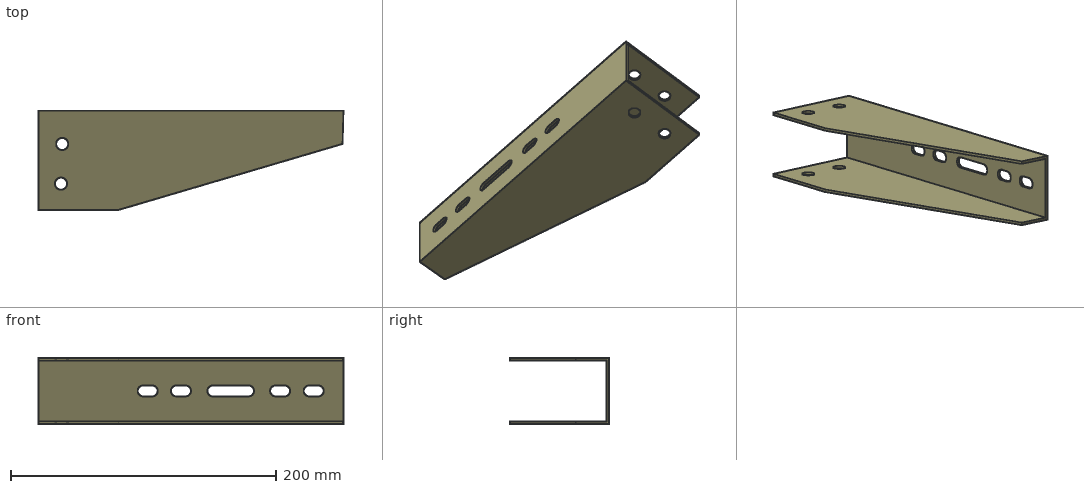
import cadquery as cq

length = 230.0
depth = 75.0
height = 50.0
wall = 2.0

full_depth_length = 60.0
tip_depth = 25.0
tip_setback = 0.7

hole_diameter = 9.0
flange_holes = [(18.0, 25.0), (17.0, 55.0)]

slot_width = 8.0
short_slot = 15.0
long_slot = 35.0
back_slots = [
    (82.3, short_slot),
    (107.5, short_slot),
    (145.0, long_slot),
    (182.2, short_slot),
    (207.5, short_slot),
]


def tapered_block():
    """Solid with the flange outline, its back face on Y = 0."""
    outline = [
        (0, 0),
        (length, 0),
        (length - tip_setback, -tip_depth),
        (full_depth_length, -depth),
        (0, -depth),
    ]
    return cq.Workplane("XY").polyline(outline).close().extrude(height)


def channel_cavity():
    """Space between the flanges, open at both ends and at the front."""
    return cq.Workplane("XY").box(
        length, depth, height - 2 * wall, centered=False
    ).translate((0, -depth - wall, wall))


def flange_hole_cutters():
    """Round cutters passing through both flanges."""
    points = [(x, -from_back) for x, from_back in flange_holes]
    return cq.Workplane("XY").pushPoints(points).circle(hole_diameter / 2).extrude(height)


def cut_back_slots(body):
    """Cut the row of slots along the middle of the back wall."""
    for centre, slot_length in back_slots:
        cutter = (
            cq.Workplane("XZ")
            .center(centre, height / 2)
            .slot2D(slot_length, slot_width)
            .extrude(wall)
        )
        body = body.cut(cutter)
    return body


channel = tapered_block().cut(channel_cavity()).cut(flange_hole_cutters())
result = cut_back_slots(channel)